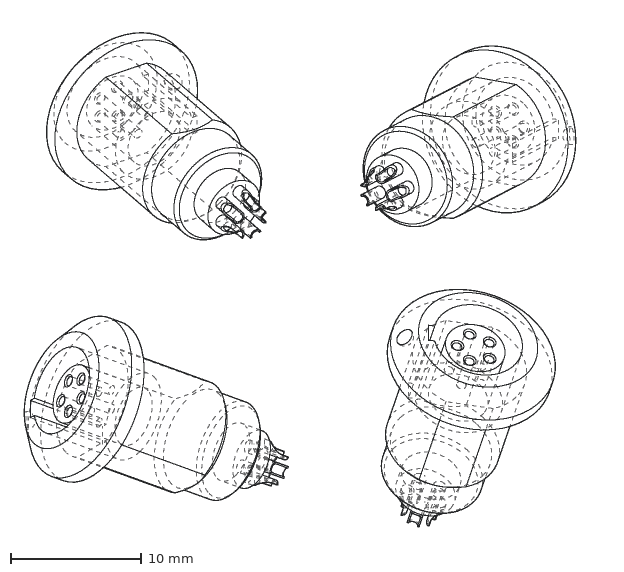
import cadquery as cq
import math


FLANGE_BEVEL_END_X = 1.8
FLANGE_BACK_X = 3.0
BARREL_TAPER_X = 12.5
BARREL_END_X = 13.0
SLEEVE_END_X = 16.5
INSERT_BACK_X = 18.5
CONTACT_END_X = 21.0

FLANGE_RADIUS = 6.5
FRONT_FACE_RADIUS = FLANGE_RADIUS - FLANGE_BEVEL_END_X
BARREL_RADIUS = 4.5
SLEEVE_RADIUS = 4.0
SLEEVE_CHAMFER = 0.3
BARREL_FLAT_OFFSET = 4.1

SOCKET_RADIUS = 3.5
SOCKET_DEPTH = 7.0
KEYWAY_REACH = 3.9
KEYWAY_WIDTH = 1.5

INSERT_RADIUS = 2.35
INSERT_FRONT_X = 1.0

CONTACT_COUNT = 5
CONTACT_CIRCLE_RADIUS = 1.4
CONTACT_RADIUS = 0.5
CONTACT_BORE_RADIUS = 0.37
CONTACT_BORE_DEPTH = 3.0

CUP_BORE_START_X = 19.4
CUP_CUT_START_X = 19.2
CUP_FLAT_START_X = 20.5
CUP_FLAT_OFFSET = -0.05

MARK_RADIUS = 0.7


def x_cylinder(radius, start_x, end_x):
    """Cylinder about the X axis between two X positions."""
    return cq.Workplane("YZ").workplane(offset=start_x).circle(radius).extrude(end_x - start_x)


def make_shell():
    """Flange, barrel and rear sleeve turned about the X axis."""
    profile = [
        (0, 0),
        (0, FRONT_FACE_RADIUS),
        (FLANGE_BEVEL_END_X, FLANGE_RADIUS),
        (FLANGE_BACK_X, FLANGE_RADIUS),
        (FLANGE_BACK_X, BARREL_RADIUS),
        (BARREL_TAPER_X, BARREL_RADIUS),
        (BARREL_END_X, SLEEVE_RADIUS),
        (SLEEVE_END_X - SLEEVE_CHAMFER, SLEEVE_RADIUS),
        (SLEEVE_END_X, SLEEVE_RADIUS - SLEEVE_CHAMFER),
        (SLEEVE_END_X, 0),
    ]
    return cq.Workplane("XY").polyline(profile).close().revolve(360, (0, 0, 0), (1, 0, 0))


def cut_barrel_flats(shell):
    """Two parallel flats, above and below, along the barrel behind the flange."""
    length = BARREL_END_X - FLANGE_BACK_X
    for side in (1, -1):
        cutter = cq.Workplane("XY").box(length, 2 * BARREL_RADIUS, BARREL_RADIUS, centered=(False, True, True))
        center_z = side * (BARREL_FLAT_OFFSET + BARREL_RADIUS / 2)
        shell = shell.cut(cutter.translate((FLANGE_BACK_X, 0, center_z)))
    return shell


def make_socket():
    """Round cavity with a keyway on the +Y side."""
    keyway = cq.Workplane("XY").box(
        SOCKET_DEPTH, KEYWAY_REACH, KEYWAY_WIDTH, centered=(False, False, True)
    )
    return x_cylinder(SOCKET_RADIUS, 0, SOCKET_DEPTH).union(keyway)


def make_orientation_mark():
    """Sphere that leaves a dimple in the flange bevel, in line with the keyway."""
    mark_x = FLANGE_BEVEL_END_X / 2
    mark_y = (FRONT_FACE_RADIUS + FLANGE_RADIUS) / 2
    return cq.Workplane("XY").sphere(MARK_RADIUS).translate((mark_x, mark_y, 0))


def make_contact_bore():
    """Countersunk blind bore of one contact, on the X axis."""
    bore_end_x = INSERT_FRONT_X + CONTACT_BORE_DEPTH
    countersink_depth = CONTACT_RADIUS - CONTACT_BORE_RADIUS
    profile = [
        (INSERT_FRONT_X, 0),
        (INSERT_FRONT_X, CONTACT_RADIUS),
        (INSERT_FRONT_X + countersink_depth, CONTACT_BORE_RADIUS),
        (bore_end_x, CONTACT_BORE_RADIUS),
        (bore_end_x, 0),
    ]
    return cq.Workplane("XY").polyline(profile).close().revolve(360, (0, 0, 0), (1, 0, 0))


def make_solder_cup():
    """Rear end of one contact on the X axis, with its cup open toward +Y."""
    pin = x_cylinder(CONTACT_RADIUS, INSERT_BACK_X, CONTACT_END_X)
    bore = x_cylinder(CONTACT_BORE_RADIUS, CUP_BORE_START_X, CONTACT_END_X)

    run = CUP_FLAT_START_X - CUP_CUT_START_X
    drop = CONTACT_RADIUS - CUP_FLAT_OFFSET
    arc_radius = (run**2 + drop**2) / (2 * drop)
    half_sweep = math.atan2(drop, run)
    arc_middle = (
        CUP_FLAT_START_X - arc_radius * math.sin(half_sweep),
        CUP_FLAT_OFFSET + arc_radius * (1 - math.cos(half_sweep)),
    )
    opening = (
        cq.Workplane("XY")
        .moveTo(CUP_CUT_START_X, CONTACT_RADIUS)
        .threePointArc(arc_middle, (CUP_FLAT_START_X, CUP_FLAT_OFFSET))
        .lineTo(CONTACT_END_X, CUP_FLAT_OFFSET)
        .lineTo(CONTACT_END_X, CONTACT_RADIUS)
        .close()
        .extrude(CONTACT_RADIUS, both=True)
    )
    return pin.cut(bore).cut(opening)


def place_contact(feature, index):
    """Move a feature from the X axis to its place on the contact circle, counted from +Y."""
    angle = index * 360 / CONTACT_COUNT
    return feature.translate((0, CONTACT_CIRCLE_RADIUS, 0)).rotate((0, 0, 0), (1, 0, 0), angle)


result = cut_barrel_flats(make_shell())
result = result.cut(make_socket()).cut(make_orientation_mark())
result = result.union(x_cylinder(INSERT_RADIUS, INSERT_FRONT_X, INSERT_BACK_X))

contact_bore = make_contact_bore()
solder_cup = make_solder_cup()
for contact_index in range(CONTACT_COUNT):
    result = result.cut(place_contact(contact_bore, contact_index))
    result = result.union(place_contact(solder_cup, contact_index))